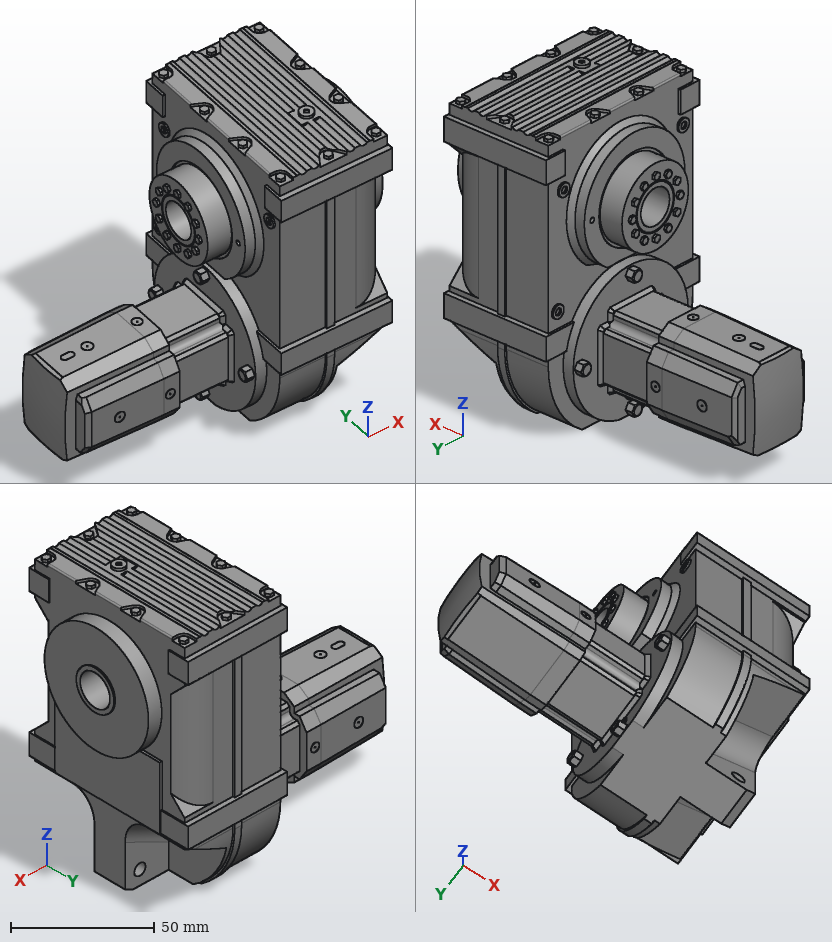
import cadquery as cq
import math


casing_depth = 46.6
casing_half_width = 37.7
casing_top = 34.7
casing_bottom = -86.3
casing_arc_z = -54.4
seam_front, seam_back = 19.7, 23.1
seam_height = 0.9

pad_height = 9.9
pad_widths = (9.9, 16.8)
pad_front, pad_back = -1.0, 47.1
pad_outer_y = 40.0
pad_tops = (28.9, -41.1)

pocket_front = 32.9
pocket_top, pocket_bottom = 17.2, -39.0
pocket_radius = 16.8

arm_front = 25.4
arm_slope_low, arm_slope_high = -62.4, -52.4
arm_half_thickness = 7.7
arm_fillet = 10.7
arm_corner_x, arm_corner_z = 3.7, 1.8
arm_hole_x, arm_hole_z = 39.3, -79.3
arm_hole_diameter = 5.4

shaft_bore_diameter = 15.0
shaft_diameter = 19.0
shaft_back = 53.7
shaft_gap_diameter = 19.9
shaft_gap_depth = 1.3
hub_radius = 17.3
hub_front = -16.3
hub_groove_radius = 18.6
hub_groove_depth = 0.6
hub_bolt_count = 12
hub_bolt_circle_radius = 12.4
hub_bolt_size = 3.2
hub_bolt_height = 1.0
flange_radius = 26.2
flange_root_radius = 28.2
flange_front = -6.6
flange_cone_front = -2.2
flange_flat_z = -22.0
flange_hole_y = 22.0
flange_hole_diameter = 2.0
flange_hole_depth = 2.6
back_flange_back = 53.0
rear_plate_thickness = 1.2
rear_plate_half_width = 26.3
rear_plate_top = -20.5

motor_z = -57.0
motor_flange_radius = 29.9
motor_flange_front = -4.8
motor_bolt_circle_radius = 26.6
motor_bolt_size = 5.5
motor_bolt_height = 3.5
motor_bolt_chamfer = 0.6
body_half = 16.3
body_panel_half = 11.1
body_edge_chamfer = 1.3
body_groove_fillet = 2.3
body_foot_front = -6.6
body_foot_flare = 1.0
cover_back = -30.0
cover_taper_start = -37.0
cover_front = -75.3
cover_taper = 1.3
cover_side_front = -70.0
cover_half_width = 13.4
cover_top, cover_bottom = 19.6, -17.8
cover_corner_width, cover_corner_height = 5.2, 3.5
cover_low_corner_width, cover_low_corner_height = 3.2, 1.7
cover_nose_top_radius = 3.1
cover_nose_bottom_radius = 0.9
cover_side_nose_depth = 0.8
cover_side_nose_length = 2.3
cover_dome_radius = 122.5
cover_cap_back_x, cover_cap_back_diameter = -34.2, 4.0
cover_cap_front_x, cover_cap_front_diameter = -55.7, 4.4
cover_cap_height = 0.1
cover_cap_dimple_diameter = 0.4
cover_cap_dimple_depth = 0.6
cover_key_x, cover_key_length, cover_key_width = -64.2, 5.4, 2.8

lid_edge_radius = 0.6
lid_groove_count = 6
lid_groove_pitch = 5.22
lid_groove_width = 2.8
lid_groove_depth = 0.8
lid_border_width = 7.5
lid_border_drop = 0.1
lid_recess_floor = 33.4
lid_recess_radius = 3.2
lid_recess_root_width = 9.8
lid_mid_recess_root_width = 11.6
lid_bolt_size = 3.6
lid_bolt_top = 34.7
lid_bolt_inset = 2.6
lid_bolt_side_inset = 3.1
lid_bolt_inner_y = (10.5, -12.3)
vent_x, vent_y = 29.8, -12.8
vent_pad_length, vent_pad_width = 10.2, 8.0
vent_diameter = 5.7
vent_hole_diameter = 2.0
vent_hole_depth = 0.6
vent_top = 35.9

casing_plugs = ((30.0, 13.0), (-32.1, 13.9), (33.2, -34.0))
plug_diameter = 5.5
plug_socket_diameter = 2.8
plug_height = 0.8
motor_plug_drop = 20.5
motor_plug_height = 0.4


def disc(radius, x_start, x_end, y=0, z=0):
    """Cylinder along X."""
    return cq.Workplane("YZ", origin=(x_start, y, z)).circle(radius).extrude(x_end - x_start)


def block(x_range, y_range, z_range):
    """Box given by its lower and upper limits on each axis."""
    low, high = zip(x_range, y_range, z_range)
    size = [b - a for a, b in zip(low, high)]
    return cq.Workplane("XY").box(*size, centered=False).translate(low)


def both_sides(solid):
    """The solid together with its mirror image across the middle plane."""
    return solid.union(solid.mirror("XZ"))


def rounded_slab(half_width, top, x_start, x_end):
    """Upright slab with an arc-shaped lower end cut off flat at the bottom."""
    drop = casing_arc_z - casing_bottom
    foot = math.sqrt(half_width**2 - drop**2)
    diagonal = half_width * math.sqrt(0.5)
    arc_mid_z = casing_arc_z - diagonal
    return (
        cq.Workplane("YZ", origin=(x_start, 0, 0))
        .moveTo(-half_width, top)
        .lineTo(-half_width, casing_arc_z)
        .threePointArc((-diagonal, arc_mid_z), (-foot, casing_bottom))
        .lineTo(foot, casing_bottom)
        .threePointArc((diagonal, arc_mid_z), (half_width, casing_arc_z))
        .lineTo(half_width, top)
        .close()
        .extrude(x_end - x_start)
    )


def make_side_pocket():
    """Cutter for the rounded-off rear corner on the -Y side, with 45 degree ends."""
    length = casing_depth - pocket_front
    depth = pocket_radius - math.sqrt(pocket_radius**2 - length**2)
    half_chord = length / 2
    mid_depth = pocket_radius - math.sqrt(pocket_radius**2 - half_chord**2)
    wall = -casing_half_width
    outside = wall - 1.3
    plan = (
        cq.Workplane("XY", origin=(0, 0, pocket_bottom))
        .moveTo(pocket_front, wall)
        .threePointArc((pocket_front + half_chord, wall + mid_depth), (casing_depth, wall + depth))
        .lineTo(casing_depth, outside)
        .lineTo(pocket_front, outside)
        .close()
        .extrude(pocket_top - pocket_bottom)
    )
    ends = (
        cq.Workplane("YZ", origin=(pocket_front, 0, 0))
        .polyline([
            (outside, pocket_bottom),
            (wall, pocket_bottom),
            (wall + depth, pocket_bottom + depth),
            (wall + depth, pocket_top - depth),
            (wall, pocket_top),
            (outside, pocket_top),
        ])
        .close()
        .extrude(length)
    )
    return plan.intersect(ends)


def make_casing():
    casing = rounded_slab(casing_half_width, casing_top, 0, casing_depth)
    casing = finish_lid(casing)
    below_slope = [
        (arm_front, arm_slope_low),
        (casing_depth, arm_slope_high),
        (casing_depth, casing_bottom),
        (arm_front, casing_bottom),
    ]
    undercut = cq.Workplane("XZ").polyline(below_slope).close().extrude(casing_half_width, both=True)
    arm = cq.Workplane("XZ").polyline(below_slope).close().extrude(arm_half_thickness, both=True)
    casing = casing.cut(undercut).union(arm)

    slope_x = (arm_front + casing_depth) / 2
    slope_z = (arm_slope_low + arm_slope_high) / 2
    for side in (-1, 1):
        corner = cq.selectors.NearestToPointSelector((slope_x, side * arm_half_thickness, slope_z))
        casing = casing.edges(corner).fillet(arm_fillet)

    arm_corner = (
        cq.Workplane("XZ")
        .moveTo(casing_depth, casing_bottom)
        .lineTo(casing_depth - arm_corner_x, casing_bottom)
        .lineTo(casing_depth, casing_bottom + arm_corner_z)
        .close()
        .extrude(arm_half_thickness, both=True)
    )
    arm_hole = (
        cq.Workplane("XZ", origin=(arm_hole_x, 0, arm_hole_z))
        .circle(arm_hole_diameter / 2)
        .extrude(casing_half_width, both=True)
    )
    casing = casing.cut(arm_corner).cut(arm_hole)

    seam = rounded_slab(casing_half_width + seam_height, pad_tops[0], seam_front, seam_back)
    casing = casing.union(seam).cut(both_sides(make_side_pocket()))

    for top, width in zip(pad_tops, pad_widths):
        pad = block((pad_front, pad_back), (pad_outer_y - width, pad_outer_y), (top - pad_height, top))
        casing = casing.union(both_sides(pad))
    rear_plate = block(
        (casing_depth, casing_depth + rear_plate_thickness),
        (-rear_plate_half_width, rear_plate_half_width),
        (pad_tops[1] - pad_height, rear_plate_top),
    )
    return casing.union(rear_plate)


def make_output_flanges():
    """Coned front flange with hub and bolts, and the plain rear flange."""
    front = (
        cq.Workplane("XY")
        .polyline([
            (flange_front, 0),
            (flange_front, flange_radius),
            (flange_cone_front, flange_radius),
            (0, flange_root_radius),
            (0, 0),
        ])
        .close()
        .revolve(360, (0, 0, 0), (1, 0, 0))
    )
    below_flat = block(
        (flange_front, 0),
        (-flange_root_radius, flange_root_radius),
        (-flange_root_radius, flange_flat_z),
    )
    front = front.cut(below_flat)
    for y in (-flange_hole_y, flange_hole_y):
        front = front.cut(disc(flange_hole_diameter / 2, flange_front, flange_front + flange_hole_depth, y))
    front = front.cut(disc(hub_groove_radius, flange_front, flange_front + hub_groove_depth))
    front = front.union(disc(hub_radius, hub_front, 0))
    bolts = (
        cq.Workplane("YZ", origin=(hub_front, 0, 0))
        .polarArray(hub_bolt_circle_radius, 0, 360, hub_bolt_count)
        .polygon(6, hub_bolt_size)
        .extrude(-hub_bolt_height)
    )
    rear = disc(flange_radius, casing_depth, back_flange_back)
    return front.union(bolts).union(rear)


def bore_output(gearbox):
    """Hollow shaft through the gearbox, set off by a narrow gap at the hub face."""
    gap = disc(shaft_gap_diameter / 2, hub_front, hub_front + shaft_gap_depth)
    shaft = disc(shaft_diameter / 2, hub_front, shaft_back)
    bore = disc(shaft_bore_diameter / 2, hub_front, shaft_back)
    return gearbox.cut(gap).union(shaft).cut(bore)


def body_section(half, panel_half):
    """Closed cross outline of the motor body, with chamfered outer edges."""
    chamfer = body_edge_chamfer
    quarter = [
        (half, panel_half - chamfer),
        (half - chamfer, panel_half),
        (panel_half, panel_half),
        (panel_half, half - chamfer),
        (panel_half - chamfer, half),
    ]
    points = []
    for _ in range(4):
        points += quarter
        quarter = [(-z, y) for y, z in quarter]
    return points


def motor_plane(x):
    return cq.Workplane("YZ", origin=(x, 0, motor_z))


def make_motor_body():
    body = motor_plane(cover_back).polyline(body_section(body_half, body_panel_half)).close()
    body = body.extrude(-cover_back)
    for y in (-body_panel_half, body_panel_half):
        for z in (-body_panel_half, body_panel_half):
            corner = cq.selectors.NearestToPointSelector((cover_back / 2, y, motor_z + z))
            body = body.edges(corner).fillet(body_groove_fillet)
    foot_length = motor_flange_front - body_foot_front
    foot_taper = math.degrees(math.atan2(body_foot_flare, foot_length))
    foot_outline = body_section(body_half + body_foot_flare, body_panel_half + body_foot_flare)
    foot = motor_plane(motor_flange_front).polyline(foot_outline).close()
    return body.union(foot.extrude(-foot_length, taper=foot_taper))


def tapered_cover(points, front):
    """Straight collar followed by a slightly tapered hood."""
    collar = motor_plane(cover_back).polyline(points).close().extrude(cover_taper_start - cover_back)
    hood = motor_plane(cover_taper_start).polyline(points).close()
    return collar.union(hood.extrude(front - cover_taper_start, taper=cover_taper))


def make_motor_cover():
    top_inner = cover_half_width - cover_corner_width
    low_inner = cover_half_width - cover_low_corner_width
    upright = tapered_cover(
        [
            (-top_inner, cover_top),
            (top_inner, cover_top),
            (cover_half_width, cover_top - cover_corner_height),
            (cover_half_width, cover_bottom + cover_low_corner_height),
            (low_inner, cover_bottom),
            (-low_inner, cover_bottom),
            (-cover_half_width, cover_bottom + cover_low_corner_height),
            (-cover_half_width, cover_top - cover_corner_height),
        ],
        cover_front,
    )
    shrink = (cover_taper_start - cover_front) * math.tan(math.radians(cover_taper))
    nose = block(
        (cover_front, cover_back),
        (-cover_half_width, cover_half_width),
        (motor_z + cover_bottom + shrink, motor_z + cover_top - shrink),
    )
    nose = nose.faces("<X").edges(">Z").fillet(cover_nose_top_radius)
    nose = nose.faces("<X").edges("<Z").fillet(cover_nose_bottom_radius)
    nose = nose.union(upright.intersect(block(
        (cover_front + cover_nose_top_radius, cover_back),
        (-cover_half_width, cover_half_width),
        (motor_z + cover_bottom, motor_z + cover_top),
    )))
    dome_x = cover_front + cover_dome_radius
    dome = cq.Workplane("XY", origin=(dome_x, 0, motor_z)).sphere(cover_dome_radius)
    upright = upright.intersect(nose).intersect(dome)

    side_inner = cover_half_width - cover_corner_width
    side_shoulder = cover_top - cover_corner_height
    sides = tapered_cover(
        [
            (side_shoulder, cover_half_width),
            (cover_top, side_inner),
            (cover_top, -side_inner),
            (side_shoulder, -cover_half_width),
            (-side_shoulder, -cover_half_width),
            (-cover_top, -side_inner),
            (-cover_top, side_inner),
            (-side_shoulder, cover_half_width),
        ],
        cover_side_front,
    )
    sides = sides.faces("<X").edges().chamfer(cover_side_nose_depth, cover_side_nose_length)
    return add_cover_caps(upright.union(sides))


def add_cover_caps(cover):
    """Round caps on the top and both sides, and an oblong one on the top."""
    def surface(x):
        fall = max(0, cover_taper_start - x) * math.tan(math.radians(cover_taper))
        return cover_top - fall + cover_cap_height

    def place(solid, x, turn):
        return solid.rotate((0, 0, 0), (1, 0, 0), turn).translate((x, 0, motor_z))

    caps = (
        (cover_cap_back_x, cover_cap_back_diameter),
        (cover_cap_front_x, cover_cap_front_diameter),
    )
    for x, diameter in caps:
        dimple_bottom = surface(x) - cover_cap_dimple_depth
        for turn in (0, 90, -90):
            cap = cq.Workplane("XY").circle(diameter / 2).extrude(surface(x))
            dimple = cq.Workplane("XY").circle(cover_cap_dimple_diameter / 2).extrude(cover_top)
            dimple = dimple.translate((0, 0, dimple_bottom))
            cover = cover.union(place(cap, x, turn)).cut(place(dimple, x, turn))
    key = cq.Workplane("XY", origin=(cover_key_x, 0, motor_z)).slot2D(cover_key_length, cover_key_width)
    return cover.union(key.extrude(surface(cover_key_x)))


def plug(x, y, z, height):
    """Round screw head with a socket, standing out of a front face at x."""
    head = disc(plug_diameter / 2, x, x - height, y, z)
    return head.cut(disc(plug_socket_diameter / 2, x, x - height, y, z))


def make_motor_flange():
    """Round flange with a flat foot, four hexagon bolts and a screw plug."""
    flange = disc(motor_flange_radius, motor_flange_front, 0, 0, motor_z)
    flange = flange.intersect(block(
        (motor_flange_front, 0),
        (-motor_flange_radius, motor_flange_radius),
        (casing_bottom, motor_z + motor_flange_radius),
    ))
    bolt_front = motor_flange_front - motor_bolt_height
    bolt = motor_plane(motor_flange_front).polygon(6, motor_bolt_size).extrude(-motor_bolt_height)
    crown = disc(motor_bolt_size / 2, motor_flange_front, bolt_front, 0, motor_z)
    bolt = bolt.intersect(crown.faces("<X").chamfer(motor_bolt_chamfer))
    r = motor_bolt_circle_radius
    for y, z in ((r, 0), (-r, 0), (0, r), (0, -r)):
        flange = flange.union(bolt.translate((0, y, z)))
    return flange.union(plug(motor_flange_front, 0, motor_z - motor_plug_drop, motor_plug_height))


def edge_recess(root_width, reach):
    """Recess cutter at the origin that widens towards the lid edge lying at y = reach."""
    half_root = root_width / 2
    distance = math.hypot(half_root, reach)
    angle = math.atan2(reach, half_root) - math.acos(lid_recess_radius / distance)
    tangent_x = lid_recess_radius * math.cos(angle)
    tangent_y = lid_recess_radius * math.sin(angle)
    return (
        cq.Workplane("XY", origin=(0, 0, lid_recess_floor))
        .moveTo(half_root, reach)
        .lineTo(tangent_x, tangent_y)
        .threePointArc((0, -lid_recess_radius), (-tangent_x, tangent_y))
        .lineTo(-half_root, reach)
        .close()
        .extrude(casing_top - lid_recess_floor)
    )


def corner_recess(x, y, edge_x, edge_y):
    """Square recess cutter for a corner of the lid, rounded on its inner corner."""
    inner_x = x + math.copysign(lid_recess_radius, x - edge_x)
    inner_y = y + math.copysign(lid_recess_radius, y - edge_y)
    recess = block(
        sorted((edge_x, inner_x)),
        sorted((edge_y, inner_y)),
        (lid_recess_floor, casing_top),
    )
    inner = cq.selectors.NearestToPointSelector((inner_x, inner_y, (lid_recess_floor + casing_top) / 2))
    return recess.edges(inner).fillet(lid_recess_radius)


def cut_lid_grooves(casing):
    """Lowers the border strips and cuts shallow round grooves across the lid."""
    across = (-casing_half_width, casing_half_width)
    for x in (0, casing_depth - lid_border_width):
        strip = block((x, x + lid_border_width), across, (casing_top - lid_border_drop, casing_top))
        casing = casing.cut(strip)
    half_width = lid_groove_width / 2
    radius = (half_width**2 + lid_groove_depth**2) / (2 * lid_groove_depth)
    axis_z = casing_top - lid_groove_depth + radius
    for index in range(lid_groove_count):
        x = casing_depth / 2 + (index - (lid_groove_count - 1) / 2) * lid_groove_pitch
        groove = cq.Workplane("XZ", origin=(x, 0, axis_z)).circle(radius)
        casing = casing.cut(groove.extrude(casing_half_width, both=True))
    return casing


def finish_lid(casing):
    """Grooved lid with rounded edges, bolts in open recesses and the vent plug."""
    casing = cut_lid_grooves(casing)
    casing = casing.faces("<X or >X").edges(">Z").fillet(lid_edge_radius)

    middle_x = casing_depth / 2
    bolt_y = casing_half_width - lid_bolt_side_inset
    bolt_points = [(middle_x, bolt_y), (middle_x, -bolt_y)]
    mid_recess = edge_recess(lid_mid_recess_root_width, lid_bolt_side_inset)
    casing = casing.cut(both_sides(mid_recess.translate((middle_x, bolt_y, 0))))

    side_recess = edge_recess(lid_recess_root_width, lid_bolt_inset)
    ends = (
        (lid_bolt_inset, 90, 0),
        (casing_depth - lid_bolt_inset, -90, casing_depth),
    )
    for x, turn, edge_x in ends:
        turned = side_recess.rotate((0, 0, 0), (0, 0, 1), turn)
        for y in lid_bolt_inner_y:
            casing = casing.cut(turned.translate((x, y, 0)))
        casing = casing.cut(both_sides(corner_recess(x, bolt_y, edge_x, casing_half_width)))
        bolt_points += [(x, y) for y in (*lid_bolt_inner_y, bolt_y, -bolt_y)]

    bolts = (
        cq.Workplane("XY", origin=(0, 0, lid_recess_floor))
        .pushPoints(bolt_points)
        .polygon(6, lid_bolt_size)
        .extrude(lid_bolt_top - lid_recess_floor)
    )
    vent_base = cq.Workplane("XY", origin=(vent_x, vent_y, lid_recess_floor))
    vent_pad = vent_base.rect(vent_pad_length, vent_pad_width).extrude(casing_top - lid_recess_floor)
    vent = (
        vent_base.circle(vent_diameter / 2)
        .extrude(vent_top - lid_recess_floor)
        .faces(">Z")
        .workplane()
        .hole(vent_hole_diameter, vent_hole_depth)
    )
    return casing.union(bolts).union(vent_pad).union(vent)


gearbox = make_casing().union(make_output_flanges())
for plug_y, plug_z in casing_plugs:
    gearbox = gearbox.union(plug(0, plug_y, plug_z, plug_height))
gearbox = bore_output(gearbox)

motor = make_motor_flange().union(make_motor_body()).union(make_motor_cover())

result = gearbox.union(motor)